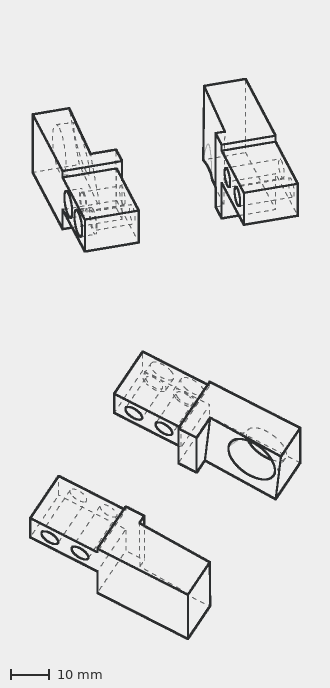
import cadquery as cq
import math

total_length = 47.0
block_length = 27.0
pad_length = 21.5
tongue_bottom = 11.13
tongue_height = 10.0
tongue_width = 14.5
screw_height = tongue_bottom + tongue_height / 2
screw_positions = (32.15, 41.15)
screw_diameter = 5.0

front_bottom = 5.0
front_top = 23.13
front_face_y = 0.0
front_step_y = 16.0
front_pad_low_y = 12.54
front_pad_high_y = 9.83
front_pad_taper = math.tan(math.radians(1.85))
counterbore_diameter = 7.0
counterbore_depth = 4.0

pocket_left_x = 1.2
pocket_center_z = 15.75
pocket_mouth_width = 15.0
pocket_height = 13.7
pocket_mouth_y = 13.0
pocket_floor_y = 5.0
pocket_taper = 0.38

rear_bottom = 0.0
rear_top = 23.0
rear_back_y = 57.18
rear_step_y = rear_back_y - tongue_width
rear_pad_low_y = 45.75
rear_pad_high_y = 46.0
rear_pad_taper = math.tan(math.radians(2.2))

scallop_radius = 24.0
scallop_foot_x = 4.8
scallop_depth = 0.4
scallop_height = 7.8
scallop_lean = 0.14


def finger_block(bottom, top, back_y, step_y, pad_low_y, pad_high_y, pad_taper):
    """Stepped block whose pad face slopes evenly between its lower and upper edge."""

    def outline(pad_y):
        return [
            (0, back_y),
            (0, pad_y),
            (pad_length, pad_y - pad_length * pad_taper),
            (pad_length, step_y),
            (block_length, step_y),
            (block_length, back_y),
        ]

    return (
        cq.Workplane("XY", origin=(0, 0, bottom))
        .polyline(outline(pad_low_y)).close()
        .workplane(offset=top - bottom)
        .polyline(outline(pad_high_y)).close()
        .loft(ruled=True)
    )


def tongue(front_y):
    """Mounting tongue behind the block."""
    return cq.Workplane("XY").box(
        total_length - block_length, tongue_width, tongue_height, centered=False
    ).translate((block_length, front_y, tongue_bottom))


def screw_bores(diameter, front_y, depth):
    """Round bores along Y at the screw positions, starting at front_y."""
    return (
        cq.Workplane("XZ", origin=(0, front_y, 0))
        .pushPoints([(x, screw_height) for x in screw_positions])
        .circle(diameter / 2)
        .extrude(-depth)
    )


def pad_pocket():
    """Blind oval pocket along Y whose width shrinks with depth, from the right side only."""
    depth = pocket_mouth_y - pocket_floor_y
    mouth_radius = pocket_mouth_width / 2
    floor_radius = mouth_radius - pocket_taper * depth / 2
    return (
        cq.Workplane("XZ", origin=(pocket_left_x, pocket_mouth_y, pocket_center_z))
        .center(mouth_radius, 0)
        .ellipse(mouth_radius, pocket_height / 2)
        .workplane(offset=depth)
        .center(floor_radius - mouth_radius, 0)
        .ellipse(floor_radius, pocket_height / 2)
        .loft()
    )


def pad_scallop():
    """Large leaning cylinder that grazes the rear pad and runs out at the scallop height."""
    pad_lean = (rear_pad_high_y - rear_pad_low_y) / (rear_top - rear_bottom)
    foot_y = rear_pad_low_y - scallop_foot_x * rear_pad_taper + scallop_depth
    axis_y_lean = pad_lean - scallop_lean * rear_pad_taper - scallop_depth / scallop_height
    pad_normal = cq.Vector(rear_pad_taper, 1, -pad_lean).normalized()
    axis = cq.Vector(scallop_lean, axis_y_lean, 1)
    foot = cq.Vector(scallop_foot_x, foot_y, rear_bottom) - pad_normal * scallop_radius
    reach = 2 * scallop_height
    return cq.Workplane(
        cq.Solid.makeCylinder(scallop_radius, 2 * reach, foot - axis.normalized() * reach, axis)
    )


front_finger = (
    finger_block(
        front_bottom, front_top, front_face_y, front_step_y,
        front_pad_low_y, front_pad_high_y, front_pad_taper
    )
    .union(tongue(front_face_y))
    .cut(screw_bores(screw_diameter, front_face_y, tongue_width))
    .cut(screw_bores(counterbore_diameter, front_face_y, counterbore_depth))
    .cut(pad_pocket())
)

rear_finger = (
    finger_block(
        rear_bottom, rear_top, rear_back_y, rear_step_y, rear_pad_low_y, rear_pad_high_y, rear_pad_taper
    )
    .union(tongue(rear_step_y))
    .cut(screw_bores(screw_diameter, rear_step_y, tongue_width))
    .cut(pad_scallop())
)

result = cq.Compound.makeCompound([front_finger.val(), rear_finger.val()])